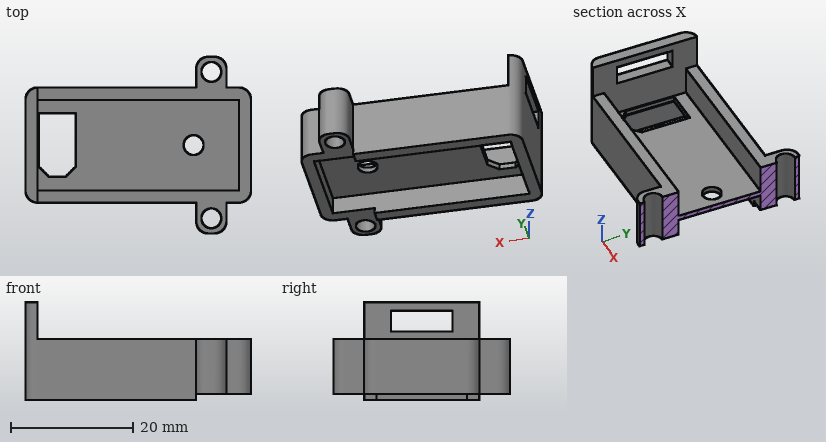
import cadquery as cq

length = 36.9
body_width = 18.85
body_height = 10.0
end_wall_height = 16.0
wall = 2.03
corner_radius = wall

floor_top = 5.0
floor_thickness = 1.0
floor_bottom = floor_top - floor_thickness
cavity_length = length - 2 * wall
cavity_width = body_width - 2 * wall

overall_width = 28.9
ear_start = 27.9
ear_width = 4.98
ear_corner_radius = 2.0
ear_center_x = ear_start + ear_width / 2
ear_hole_offset = 11.95
hole_diameter = 3.2

underside_step = 1.0

floor_hole_x = 27.5
floor_slot_start = 2.2
floor_slot_length = 6.0
floor_slot_width = 10.35
floor_slot_chamfer = 1.65
window_width = 10.05
window_bottom = 11.2
window_height = 3.35


def block(x_start, x_size, y_size, z_start, z_end):
    """Box centred on Y, placed by its start in X and its Z limits."""
    return (
        cq.Workplane("XY", origin=(x_start + x_size / 2, 0, z_start))
        .rect(x_size, y_size)
        .extrude(z_end - z_start)
    )


def through_hole(x, y):
    """Vertical cutter for a hole through the full height of the body."""
    return cq.Workplane("XY").center(x, y).circle(hole_diameter / 2).extrude(body_height)


outer = block(0, length, body_width, 0, end_wall_height).edges("|Z").fillet(corner_radius)
above_body = block(wall, length - wall, body_width, body_height, end_wall_height)
body = outer.cut(above_body)

ears = block(ear_start, ear_width, overall_width, 0, body_height).edges("|Z").fillet(ear_corner_radius)
body = body.union(ears)
body = body.cut(block(ear_start, length - ear_start, overall_width, 0, underside_step))

body = body.cut(block(wall, cavity_length, cavity_width, floor_top, body_height))
body = body.cut(block(wall, cavity_length, cavity_width, 0, floor_bottom))

body = body.cut(through_hole(floor_hole_x, 0))
for side in (-1, 1):
    body = body.cut(through_hole(ear_center_x, side * ear_hole_offset))

floor_slot = block(floor_slot_start, floor_slot_length, floor_slot_width, floor_bottom, floor_top)
body = body.cut(floor_slot.edges("|Z and <Y").chamfer(floor_slot_chamfer))

window = block(0, wall, window_width, window_bottom, window_bottom + window_height)

result = body.cut(window)